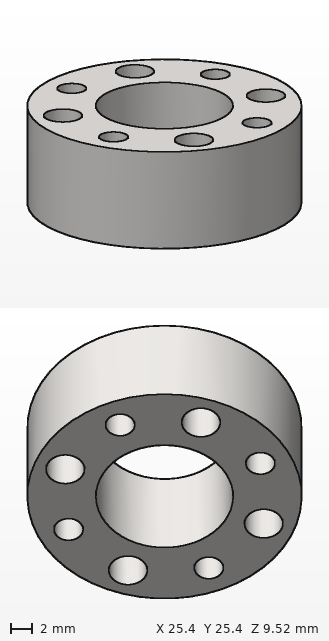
import cadquery as cq

outer_diameter = 25.4
bore_diameter = outer_diameter / 2
height = 9.52

bolt_circle_diameter = 19.55
holes_per_set = 4
small_hole_diameter = 2.7
large_hole_diameter = 3.55
large_hole_start_angle = 180 / holes_per_set


def drill_hole_set(body, diameter, start_angle):
    """Drill evenly spaced through holes on the bolt circle."""
    return (
        body.faces(">Z")
        .workplane(origin=(0, 0, height))
        .polarArray(bolt_circle_diameter / 2, start_angle, 360, holes_per_set)
        .hole(diameter)
    )


ring = (
    cq.Workplane("XY")
    .circle(outer_diameter / 2)
    .circle(bore_diameter / 2)
    .extrude(height)
)
ring = drill_hole_set(ring, small_hole_diameter, 0)
result = drill_hole_set(ring, large_hole_diameter, large_hole_start_angle)